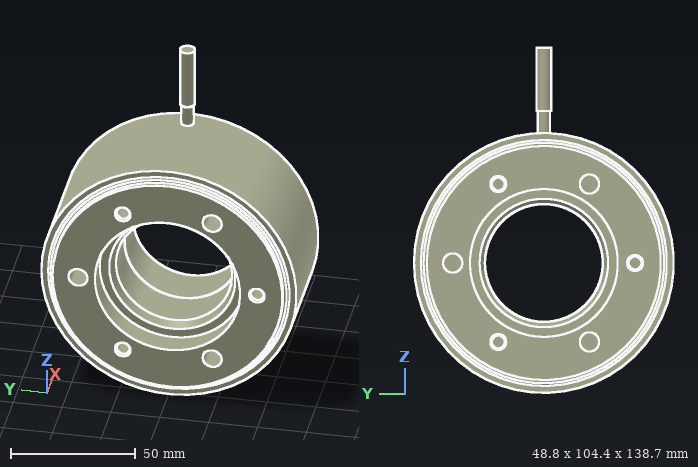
import cadquery as cq
import math

overall_length = 48.77
body_radius = 104.39 / 2
pilot_radius = 47.0
pilot_length = 2.3
cone_small_radius = 48.3
cone_large_radius = 49.4
body_start = 2.8

counterbore_radius = 29.7
counterbore_depth = 10.1
lead_in_radius = 25.8
lead_in_length = 3.5
bore_radius = 23.75
bore_end = 30.9
rear_bore_radius = 23.6

bolt_circle_radius = 36.6
holes_per_set = 3
hole_depth = 12.7
plain_hole_radius = 3.87
plain_first_angle = 0.0
threaded_hole_radius = 2.6
countersink_radius = 3.2
countersink_depth = 1.0
threaded_first_angle = 180.0 / holes_per_set

overall_height = 138.68
stem_x = 41.65
sleeve_radius = 3.0
sleeve_length = 25.4
cable_radius = 2.55


def make_ring():
    """Revolve the stepped wall section, drawn as (X, radius), about X."""
    lead_in_end = counterbore_depth + lead_in_length
    section = [
        (0, counterbore_radius),
        (0, pilot_radius),
        (pilot_length, pilot_radius),
        (pilot_length, cone_small_radius),
        (body_start, cone_large_radius),
        (body_start, body_radius),
        (overall_length, body_radius),
        (overall_length, rear_bore_radius),
        (bore_end, rear_bore_radius),
        (bore_end, bore_radius),
        (lead_in_end, bore_radius),
        (counterbore_depth, lead_in_radius),
        (counterbore_depth, counterbore_radius),
    ]
    wall = cq.Workplane("XY").polyline(section).close()
    return wall.revolve(360, (0, 0, 0), (1, 0, 0))


def hole_cutter(hole_radius, mouth_radius, mouth_depth):
    """Blind hole along +X from the pilot face, with an optional conical mouth."""
    cutter = cq.Workplane("YZ").circle(hole_radius).extrude(hole_depth)
    if mouth_depth > 0:
        mouth = cq.Solid.makeCone(
            mouth_radius, hole_radius, mouth_depth, cq.Vector(0, 0, 0), cq.Vector(1, 0, 0)
        )
        cutter = cutter.union(cq.Workplane(mouth))
    return cutter


def cut_hole_set(part, cutter, first_angle):
    """Cut one set of equally spaced holes; angles run from +Y towards +Z."""
    for index in range(holes_per_set):
        angle = math.radians(first_angle + index * 360.0 / holes_per_set)
        y = bolt_circle_radius * math.cos(angle)
        z = bolt_circle_radius * math.sin(angle)
        part = part.cut(cutter.translate((0, y, z)))
    return part


def make_stem():
    """Cable with a thicker sleeve on its upper end, rooted inside the body wall."""
    stem_top = overall_height - body_radius
    sleeve_bottom = stem_top - sleeve_length
    cable_root = (body_radius + bore_radius) / 2
    cable = (
        cq.Workplane("XY", origin=(stem_x, 0, cable_root))
        .circle(cable_radius)
        .extrude(sleeve_bottom - cable_root)
    )
    sleeve = (
        cq.Workplane("XY", origin=(stem_x, 0, sleeve_bottom))
        .circle(sleeve_radius)
        .extrude(sleeve_length)
    )
    return cable.union(sleeve)


plain_cutter = hole_cutter(plain_hole_radius, plain_hole_radius, 0)
threaded_cutter = hole_cutter(threaded_hole_radius, countersink_radius, countersink_depth)

ring = make_ring()
ring = cut_hole_set(ring, plain_cutter, plain_first_angle)
ring = cut_hole_set(ring, threaded_cutter, threaded_first_angle)
result = ring.union(make_stem())